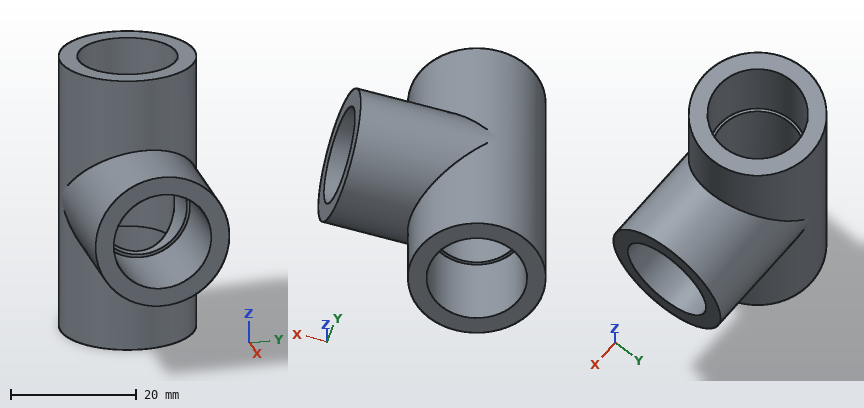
import cadquery as cq

run_length = 46.0
reach = run_length / 2
outer_diameter = 22.0
socket_diameter = 16.0
bore_diameter = 15.0
socket_depth = 14.0

run_up = cq.Plane(origin=(0, 0, 0), xDir=(1, 0, 0), normal=(0, 0, 1))
run_down = cq.Plane(origin=(0, 0, 0), xDir=(1, 0, 0), normal=(0, 0, -1))
branch = cq.Plane(origin=(0, 0, 0), xDir=(0, 1, 0), normal=(1, 0, 0))


def make_body():
    """Solid run cylinder joined by the branch cylinder."""
    run = cq.Workplane("XY").circle(outer_diameter / 2).extrude(reach, both=True)
    stub = cq.Workplane(branch).circle(outer_diameter / 2).extrude(reach)
    return run.union(stub)


def make_passage(arm):
    """Through bore of one arm, widened to a pipe socket at its open end."""
    bore = cq.Workplane(arm).circle(bore_diameter / 2).extrude(reach)
    socket = (
        cq.Workplane(arm)
        .workplane(offset=reach - socket_depth)
        .circle(socket_diameter / 2)
        .extrude(socket_depth)
    )
    return bore.union(socket)


result = make_body()
for arm in (run_up, run_down, branch):
    result = result.cut(make_passage(arm))